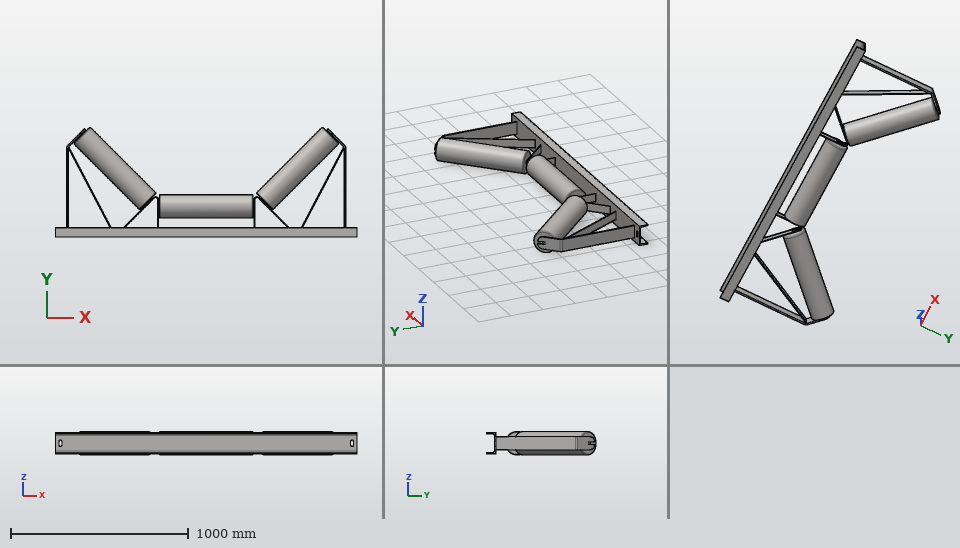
import cadquery as cq
import math

ROOT2 = math.sqrt(2)

beam_length = 1700
beam_height = 120.0
beam_depth = 55.0
web_thickness = 8.0
flange_root_thickness = 10.0
flange_tip_thickness = 7.0
root_fillet = 7.0
mount_slot_width = 15.0
mount_slot_length = 35.0
mount_slot_inset = 29.0

roller_diameter = 133.0
roller_length = 527
roller_rounding = 5.0
shaft_size = 15.0
shaft_reach = 12.0
level_axis_y = 119
wing_center_x = -515.0
roller_top_y = 565.0

bend_radius = 17
slot_end_clearance = 17
post_width = 75.0
post_tip_radius = 35.0
post_thickness = 10.0
post_gap = 5.0
post_face_x = -787.0
inner_width = 50.0
inner_thickness = 5.0
level_gap = 5.0
lean_gap = 7.0

brace_width = 50.0
brace_thickness = 6.0
brace_foot_x = -542.0
brace_top_y = 447.0

rounding_center_rise = ((roller_length + roller_diameter) / 2 - 2 * roller_rounding) / ROOT2
wing_center_y = roller_top_y - roller_rounding - rounding_center_rise
wing_offset = wing_center_y - wing_center_x
wing_axis_sum = wing_center_x + wing_center_y
post_inner_offset = wing_offset + (roller_length / 2 + post_gap) * ROOT2
post_outer_offset = post_inner_offset + post_thickness * ROOT2
lean_upper_offset = wing_offset - (roller_length / 2 + lean_gap) * ROOT2
lean_lower_offset = lean_upper_offset - inner_thickness * ROOT2
inner_face_x = -(roller_length / 2 + level_gap)
inner_back_x = inner_face_x - inner_thickness
post_back_x = post_face_x + post_thickness


def plate(points, width):
    """Outline in XY made into a plate centred on Z = 0."""
    return cq.Workplane("XY").workplane(offset=-width / 2).polyline(points).close().extrude(width)


def round_bend(strip, point, radius):
    """Rounds the strip's bend edge that passes through a point of the outline."""
    return strip.edges(cq.selectors.NearestToPointSelector((*point, 0))).fillet(radius)


def make_beam():
    half = beam_height / 2
    upper = [
        (0, half),
        (-beam_depth, half),
        (-beam_depth, half - flange_tip_thickness),
        (-web_thickness, half - flange_root_thickness),
    ]
    lower = [(y, -z) for y, z in reversed(upper)]
    beam = (
        cq.Workplane("YZ", origin=(-beam_length / 2, 0, 0))
        .polyline(upper + lower)
        .close()
        .extrude(beam_length)
    )
    for z in (half - flange_root_thickness, flange_root_thickness - half):
        beam = beam.edges(cq.selectors.NearestToPointSelector((0, -web_thickness, z))).fillet(root_fillet)
    slot_x = beam_length / 2 - mount_slot_inset
    slots = (
        cq.Workplane("XZ")
        .pushPoints([(-slot_x, 0), (slot_x, 0)])
        .slot2D(mount_slot_length, mount_slot_width, 90)
        .extrude(web_thickness)
    )
    return beam.cut(slots)


def make_roller():
    """Roller along X, centred on the origin, with a square shaft reaching past both ends."""
    shell = (
        cq.Workplane("YZ", origin=(-roller_length / 2, 0, 0))
        .circle(roller_diameter / 2)
        .extrude(roller_length)
        .faces("<X or >X")
        .fillet(roller_rounding)
    )
    shaft = cq.Workplane("XY").box(roller_length + 2 * shaft_reach, shaft_size, shaft_size)
    return shell.union(shaft)


def make_level_roller():
    return make_roller().translate((0, level_axis_y, 0))


def make_wing_roller():
    return make_roller().rotate((0, 0, 0), (0, 0, 1), -45).translate((wing_center_x, wing_center_y, 0))


def wing_slot():
    """Slot cutter for both wing shaft ends, seated under the shaft and open on its upper side."""
    length = roller_length + 2 * (shaft_reach + slot_end_clearance)
    return (
        cq.Workplane("XY")
        .box(length, shaft_size + post_width, shaft_size)
        .translate((0, post_width / 2, 0))
        .rotate((0, 0, 0), (0, 0, 1), -45)
        .translate((wing_center_x, wing_center_y, 0))
    )


def make_post():
    """Upright strip bent towards the wing roller's end, with a rounded, slotted tip."""

    def leg_tip(offset):
        tip_sum = wing_axis_sum + post_width / 2 * ROOT2
        return ((tip_sum - offset) / 2, (tip_sum + offset) / 2)

    outer_bend = (post_face_x, post_face_x + post_outer_offset)
    inner_bend = (post_back_x, post_back_x + post_inner_offset)
    outline = [
        (post_face_x, 0),
        outer_bend,
        leg_tip(post_outer_offset),
        leg_tip(post_inner_offset),
        inner_bend,
        (post_back_x, 0),
    ]
    post = plate(outline, post_width)
    post = round_bend(post, outer_bend, bend_radius)
    post = round_bend(post, inner_bend, bend_radius - post_thickness)
    tip_middle = leg_tip((post_outer_offset + post_inner_offset) / 2)
    for z in (-post_width / 2, post_width / 2):
        post = post.edges(cq.selectors.NearestToPointSelector((*tip_middle, z))).fillet(post_tip_radius)
    return post.cut(wing_slot())


def make_inner_bracket():
    """Strip folded over into an upright leg and a leg leaning at 45 degrees."""
    upper_bend = (inner_face_x, inner_face_x + lean_upper_offset)
    lower_bend = (inner_back_x, inner_back_x + lean_lower_offset)
    outline = [
        (inner_face_x, 0),
        upper_bend,
        (-lean_upper_offset, 0),
        (-lean_lower_offset, 0),
        lower_bend,
        (inner_back_x, 0),
    ]
    bracket = plate(outline, inner_width)
    bracket = round_bend(bracket, upper_bend, bend_radius)
    bracket = round_bend(bracket, lower_bend, bend_radius - inner_thickness)
    slot_floor_y = level_axis_y - shaft_size / 2
    slot_left_x = inner_face_x - bend_radius
    level_slot = plate(
        [
            (slot_left_x, slot_floor_y),
            (inner_face_x, slot_floor_y),
            upper_bend,
            (slot_left_x, upper_bend[1]),
        ],
        shaft_size,
    )
    return bracket.cut(level_slot).cut(wing_slot())


def make_brace():
    """Leaning strip whose top end is trimmed to the post."""
    run = brace_foot_x - post_back_x
    slope = brace_top_y / run
    foot_width = brace_thickness * math.hypot(run, brace_top_y) / brace_top_y
    outline = [
        (brace_foot_x, 0),
        (brace_foot_x + foot_width, 0),
        (post_back_x, brace_top_y + foot_width * slope),
        (post_back_x, brace_top_y),
    ]
    return plate(outline, brace_width).cut(make_post())


beam = make_beam()
level_roller = make_level_roller()

sided = []
for make_body in (make_wing_roller, make_post, make_inner_bracket, make_brace):
    left = make_body()
    sided += [left.val(), left.mirror("YZ").val()]

result = cq.Compound.makeCompound([beam.val(), level_roller.val(), *sided])